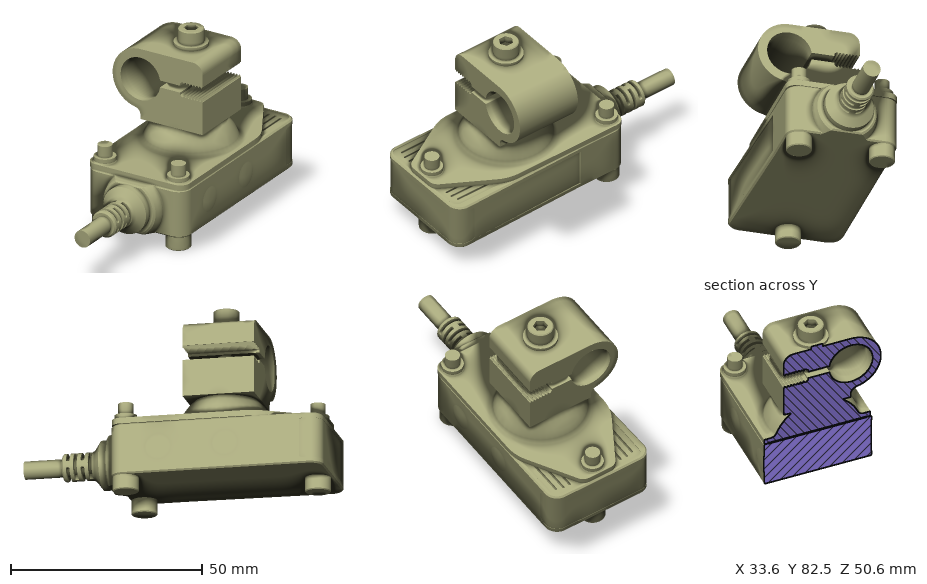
import cadquery as cq
import math

beyond = 41.25

housing_height = 13.7
housing_half_width = 15.1
housing_half_length = 28.4
housing_left_back = -16.2
taper_start_y = -13.8
housing_corner = 3.7
housing_chamfer = 0.4
mid_height = housing_height / 2

recess_margin = 1.5
band_depth = 0.1
band_front_y = 22.5
band_corner = 0.8
panel_front_y = -12.95
panel_back_y = 22.3
panel_depth = 0.3
panel_end_slope = 0.3

pad_half_width = 13.95
pad_back_y = 27.4
pad_front_y = 4.1
pad_corner = 2.0
pad_depth = 0.2

groove_pitch = 2.0
groove_width = 0.7
groove_depth = 0.5
inner_groove_x = 8.0
groove_front_y = 8.25
groove_back_ys = (25.8, 25.8, 25.25)

lens_radius = 3.5
lens_height = 0.25
lens_ys = (2.6, -15.3)

boss_base_radius = 8.9
boss_foot = 0.3
boss_end_radius = 7.9
boss_chamfer = 0.4
boss_end_y = -31.2
collar_radius = 6.6
collar_end_y = -33.2
neck_radius = 4.45
neck_y = -34.7
relief_radius = 3.7
relief_start_y = -36.1
relief_end_y = -43.65
relief_chamfer = 0.4
cable_radius = 2.4
cable_end_y = -54.1
slot_width = 1.0
slot_pitch = 2.0
first_slot_y = -36.05
slot_count = 4
slot_end_radius = 0.4
web_half_width = 0.8

mount_y = -0.2
plate_thickness = 1.6
plate_bottom = housing_height
plate_top = plate_bottom + plate_thickness
plate_half_width = 15.1
plate_half_length = 28.0
plate_corner = 3.0
plate_tip_half_width = 5.0
plate_side_angle = 30
plate_side_radius = 12.0

ball_radius = 13.3
ball_center_z = 11.6
ball_foot_radius = 1.6

clamp_half_width = 9.6
clamp_half_length = 9.6
clamp_offset_y = -0.2
clamp_bottom = 21.8
bore_radius = 6.1
ring_radius = 8.6
ring_x = -clamp_half_width
ring_z = 33.3
clamp_top = ring_z + ring_radius
clamp_corner = 3.0
ring_foot_radius = 2.1
gap_half_height = 1.0
gap_end_x = 2.6
tooth_tip_half_height = 1.65
tooth_root_half_height = 2.15
tooth_root_flat = 0.3
first_root_x = 3.4
tooth_count = 7

head_radius = 6.85 / 2
head_height = 3.9
head_chamfer = 0.25
bolt_radius = 2.0
washer_radius = 4.6
washer_thickness = 0.9
socket_across_corners = 4.0
socket_turn = 30
socket_depth = 2.0
nut_radius = 3.0
nut_height = 1.5
nut_foot = 0.3
nut_foot_angle = 45
stud_top = 20.0
screw_spots = ((0, 24.5), (-11.3, -24.5), (11.3, -24.5))


def cylinder(radius, bottom, top, x=0, y=0):
    """Upright cylinder between two heights."""
    return cq.Workplane("XY", origin=(x, y, bottom)).circle(radius).extrude(top - bottom)


def box(x_range, y_range, z_range):
    """Axis-aligned box from its limits."""
    sizes = [high - low for low, high in (x_range, y_range, z_range)]
    corner = (x_range[0], y_range[0], z_range[0])
    return cq.Workplane("XY").box(*sizes, centered=False).translate(corner)


def housing_prism():
    """Housing with rounded corners and its left side slanted outward toward the back."""
    return (
        cq.Workplane("XY")
        .moveTo(-housing_half_width, -housing_half_length)
        .lineTo(housing_half_width, -housing_half_length)
        .lineTo(housing_half_width, housing_half_length)
        .lineTo(housing_left_back, housing_half_length)
        .lineTo(-housing_half_width, taper_start_y)
        .close()
        .extrude(housing_height)
        .edges("|Z and (>Y or <Y)")
        .fillet(housing_corner)
    )


def back_band(prism):
    """Thin band of the housing's skin around the back, to be removed."""
    core = prism.faces("<Z").wires().toPending().offset2D(-band_depth).extrude(housing_height, combine=False)
    zone_end_y = housing_half_length + housing_corner
    zone = (
        box((-beyond, beyond), (band_front_y, zone_end_y), (recess_margin, housing_height - recess_margin))
        .edges("|X and <Y")
        .fillet(band_corner)
    )
    return prism.cut(core).intersect(zone)


def side_panel():
    """Wedge-shaped recess in the slanted side, deepest at its front end."""
    slope = (housing_left_back + housing_half_width) / (housing_half_length - taper_start_y)
    front_x = -housing_half_width + slope * (panel_front_y - taper_start_y)
    back_x = -housing_half_width + slope * (panel_back_y - taper_start_y)
    return (
        cq.Workplane("XY", origin=(0, 0, recess_margin))
        .moveTo(front_x + panel_depth, panel_front_y)
        .lineTo(back_x, panel_back_y)
        .lineTo(front_x, panel_front_y - panel_end_slope)
        .close()
        .extrude(housing_height - 2 * recess_margin)
    )


def top_pad():
    """Shallow pocket in the housing's top, with rounded back corners."""
    return (
        box(
            (-pad_half_width, pad_half_width),
            (pad_front_y, pad_back_y),
            (housing_height - pad_depth, housing_height),
        )
        .edges("|Z and >Y")
        .fillet(pad_corner)
    )


def top_groove(x, back_y):
    """Narrow round-ended groove in the floor of the top pocket."""
    length = back_y - groove_front_y
    return (
        cq.Workplane("XY", origin=(x, (back_y + groove_front_y) / 2, housing_height))
        .slot2D(length, groove_width, 90)
        .extrude(-pad_depth - groove_depth)
    )


def lens(y):
    """Low domed disc on the right side."""
    dome_radius = (lens_radius**2 + lens_height**2) / (2 * lens_height)
    return (
        cq.Workplane("XY")
        .lineTo(lens_radius, 0)
        .radiusArc((0, lens_height), -dome_radius)
        .close()
        .revolve(360, (0, 0, 0), (0, 1, 0))
        .rotate((0, 0, 0), (0, 0, 1), -90)
        .translate((housing_half_width, y, mid_height))
    )


def spin(profile):
    """Solid of revolution about the cable's axis, from an open (radius, y) profile ending on it."""
    return profile.close().revolve(360, (0, 0, 0), (0, 1, 0)).translate((0, 0, mid_height))


def cable_boss():
    """Conical boss on the housing's front, cut flat at the housing's top and bottom."""
    root_y = -housing_half_length + housing_chamfer
    cone = spin(
        cq.Workplane("XY")
        .moveTo(0, root_y)
        .lineTo(boss_base_radius + boss_foot, root_y)
        .lineTo(boss_base_radius + boss_foot, -housing_half_length)
        .radiusArc((boss_base_radius, -housing_half_length - boss_foot), -boss_foot)
        .lineTo(boss_end_radius, boss_end_y)
        .lineTo(0, boss_end_y)
    )
    slab = box((-beyond, beyond), (boss_end_y, root_y), (0, housing_height))
    return cone.intersect(slab).faces("<Y").chamfer(boss_chamfer)


def relief_slots(index):
    """One pair of opposite slots in the strain relief.

    Pairs alternate between the sides, where they end square, and top and bottom, where they end round.
    """
    slot_y = first_slot_y - index * slot_pitch
    at_top_and_bottom = index % 2 == 1
    web = box(
        (-web_half_width, web_half_width),
        (slot_y - slot_width, slot_y + slot_width),
        (-relief_radius, relief_radius),
    )
    slot = box(
        (-2 * relief_radius, 2 * relief_radius),
        (slot_y - slot_width / 2, slot_y + slot_width / 2),
        (-relief_radius, relief_radius),
    )
    core = cq.Workplane("XZ", origin=(0, slot_y + slot_width, 0)).circle(cable_radius).extrude(2 * slot_width)
    pair = slot.cut(web)
    if at_top_and_bottom:
        pair = pair.edges("|Z").edges(cq.selectors.BoxSelector(
            (-2 * web_half_width, slot_y - slot_width, -beyond),
            (2 * web_half_width, slot_y + slot_width, beyond),
        )).fillet(slot_end_radius)
        pair = pair.rotate((0, 0, 0), (0, 1, 0), 90)
    return pair.cut(core).translate((0, 0, mid_height))


def cable():
    """Collar, neck, slotted strain relief and cable."""
    shape = spin(
        cq.Workplane("XY")
        .moveTo(0, boss_end_y)
        .lineTo(collar_radius, boss_end_y)
        .lineTo(collar_radius, collar_end_y)
        .lineTo(neck_radius, neck_y)
        .tangentArcPoint((relief_radius, relief_start_y), relative=False)
        .lineTo(relief_radius, relief_end_y + relief_chamfer)
        .lineTo(relief_radius - relief_chamfer, relief_end_y)
        .lineTo(cable_radius, relief_end_y)
        .lineTo(cable_radius, cable_end_y)
        .lineTo(0, cable_end_y)
    )
    for index in range(slot_count):
        shape = shape.cut(relief_slots(index))
    return shape


def make_sensor():
    prism = housing_prism()
    body = prism.faces("<Z or >Z").chamfer(housing_chamfer)
    body = body.cut(back_band(prism)).cut(side_panel()).cut(top_pad())
    for step, back_y in enumerate(groove_back_ys):
        x = inner_groove_x + step * groove_pitch
        body = body.cut(top_groove(x, back_y)).cut(top_groove(-x, back_y))
    for y in lens_ys:
        body = body.union(lens(y))
    for x, y in screw_spots:
        body = body.cut(cylinder(bolt_radius, 0, housing_height, x, y + mount_y))
    return body.union(cable_boss()).union(cable())


def mounting_plate():
    """Plate narrowing to a tip at the back."""
    side_run = (plate_half_width - plate_tip_half_width) / math.tan(math.radians(plate_side_angle))
    shoulder_y = plate_half_length - side_run
    plate = (
        cq.Workplane("XY", origin=(0, 0, plate_bottom))
        .moveTo(-plate_half_width, -plate_half_length)
        .lineTo(plate_half_width, -plate_half_length)
        .lineTo(plate_half_width, shoulder_y)
        .lineTo(plate_tip_half_width, plate_half_length)
        .lineTo(-plate_tip_half_width, plate_half_length)
        .lineTo(-plate_half_width, shoulder_y)
        .close()
        .extrude(plate_thickness)
    )
    plate = plate.edges("|Z and (>Y or <Y)").fillet(plate_corner)
    shoulder_zone = cq.selectors.BoxSelector(
        (-beyond, shoulder_y - plate_corner, 0), (beyond, shoulder_y + plate_corner, beyond)
    )
    return plate.edges("|Z").edges(shoulder_zone).fillet(plate_side_radius)


def ball_dome():
    """Truncated ball blended into the plate by a concave foot."""
    foot_rise = plate_top + ball_foot_radius - ball_center_z
    foot_reach = ball_radius + ball_foot_radius
    foot_x = math.sqrt(foot_reach**2 - foot_rise**2)
    foot_angle = math.atan2(foot_rise, foot_x)
    top_angle = math.asin((clamp_bottom - ball_center_z) / ball_radius)

    def on_ball(angle):
        return (ball_radius * math.cos(angle), ball_center_z + ball_radius * math.sin(angle))

    foot_mid_angle = (foot_angle + math.pi / 2) / 2
    foot_mid = (
        foot_x - ball_foot_radius * math.cos(foot_mid_angle),
        plate_top + ball_foot_radius * (1 - math.sin(foot_mid_angle)),
    )
    return (
        cq.Workplane("XZ")
        .moveTo(0, plate_top)
        .lineTo(foot_x, plate_top)
        .threePointArc(foot_mid, on_ball(foot_angle))
        .threePointArc(on_ball((foot_angle + top_angle) / 2), on_ball(top_angle))
        .lineTo(0, clamp_bottom)
        .close()
        .revolve(360, (0, 0, 0), (0, 1, 0))
    )


def clamp_block():
    """Ring for the rod with a block beside it, as one outline along Y."""
    foot_x = ring_x - ring_foot_radius
    foot_z = ring_z - math.sqrt((ring_radius + ring_foot_radius) ** 2 - ring_foot_radius**2)
    foot_angle = math.atan2(ring_z - foot_z, ring_x - foot_x)
    foot_end = (
        foot_x + ring_foot_radius * math.cos(foot_angle),
        foot_z + ring_foot_radius * math.sin(foot_angle),
    )
    foot_mid = (
        foot_x + ring_foot_radius * math.cos(foot_angle / 2),
        foot_z + ring_foot_radius * math.sin(foot_angle / 2),
    )
    return (
        cq.Workplane("XZ", origin=(0, clamp_half_length, 0))
        .moveTo(-clamp_half_width, clamp_bottom)
        .lineTo(clamp_half_width, clamp_bottom)
        .lineTo(clamp_half_width, clamp_top - clamp_corner)
        .radiusArc((clamp_half_width - clamp_corner, clamp_top), -clamp_corner)
        .lineTo(ring_x, clamp_top)
        .threePointArc((ring_x - ring_radius, ring_z), foot_end)
        .threePointArc(foot_mid, (-clamp_half_width, foot_z))
        .close()
        .extrude(2 * clamp_half_length)
    )


def clamp_gap():
    """Gap between the jaws: narrow at the bore, wider and toothed toward the open end."""
    pitch = (clamp_half_width - first_root_x) / tooth_count
    upper = [(ring_x, gap_half_height), (gap_end_x, gap_half_height), (gap_end_x, tooth_tip_half_height)]
    for tooth in range(tooth_count):
        root_x = first_root_x + tooth * pitch
        upper += [
            (root_x - tooth_root_flat / 2, tooth_root_half_height),
            (root_x + tooth_root_flat / 2, tooth_root_half_height),
            (root_x + pitch / 2, tooth_tip_half_height),
        ]
    upper += [
        (clamp_half_width - tooth_root_flat / 2, tooth_root_half_height),
        (clamp_half_width, tooth_root_half_height),
    ]
    lower = [(x, -height) for x, height in reversed(upper)]
    return (
        cq.Workplane("XZ", origin=(0, clamp_half_length, ring_z))
        .polyline(upper + lower)
        .close()
        .extrude(2 * clamp_half_length)
    )


def rod_bore():
    return (
        cq.Workplane("XZ", origin=(ring_x, clamp_half_length, ring_z))
        .circle(bore_radius)
        .extrude(2 * clamp_half_length)
    )


def clamp_bolt():
    """Socket-head bolt on its washer, with the shank crossing the gap."""
    washer_top = clamp_top + washer_thickness
    head_top = washer_top + head_height
    head = cylinder(head_radius, washer_top, head_top).faces(">Z").chamfer(head_chamfer)
    socket = cq.Workplane("XY", origin=(0, 0, head_top)).polygon(6, socket_across_corners)
    head = head.cut(socket.extrude(-socket_depth).rotate((0, 0, 0), (0, 0, 1), socket_turn))
    washer = cylinder(washer_radius, clamp_top, washer_top)
    shank = cylinder(bolt_radius, ring_z - tooth_root_half_height, clamp_top)
    return head.union(washer).union(shank)


def plate_screw(x, y):
    """Screw from below the housing, through the plate, with its nut on top."""
    head = cylinder(head_radius, -head_height, 0, x, y).faces("<Z").chamfer(head_chamfer)
    shank = cylinder(bolt_radius, 0, stud_top, x, y)
    nut = cylinder(nut_radius, plate_top, plate_top + nut_height, x, y)
    foot_circle = cq.Workplane("XY", origin=(x, y, plate_top)).circle(nut_radius + nut_foot)
    foot = foot_circle.extrude(nut_foot, taper=nut_foot_angle)
    return head.union(shank).union(nut).union(foot)


def make_mount():
    clamp = clamp_block().cut(rod_bore()).cut(clamp_gap()).translate((0, clamp_offset_y, 0))
    body = mounting_plate().union(ball_dome()).union(clamp).union(clamp_bolt())
    for x, y in screw_spots:
        body = body.union(plate_screw(x, y))
    return body.translate((0, mount_y, 0))


sensor = make_sensor()
mount = make_mount()
result = cq.Compound.makeCompound([sensor.val(), mount.val()])